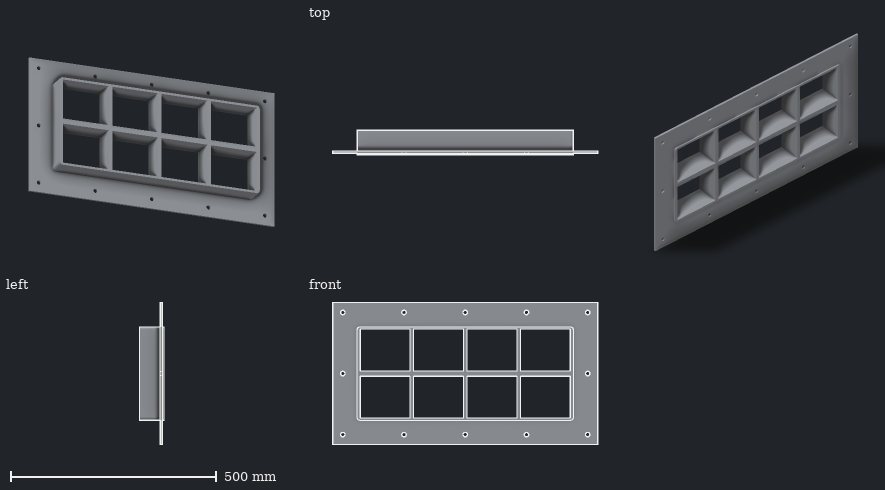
import cadquery as cq

plate_length = 644.0
plate_height = 346.0
plate_thickness = 6.0

hole_diameter = 10.0
hole_inset = 24.5
holes_along_length = 5
holes_along_height = 3

frame_length = 525.5
frame_height = 227.5
frame_depth = 60.0
frame_corner_radius = 8.0
front_lip = 4.0

columns = 4
rows = 2
side_wall = 8.0
top_wall = 6.0
upright_rib = 9.0
cross_rib = 13.5
window_length = (frame_length - 2 * side_wall - (columns - 1) * upright_rib) / columns
window_height = (frame_height - 2 * top_wall - (rows - 1) * cross_rib) / rows


def front_plane(y):
    """XZ plane at the given Y; positive extrusion runs towards -Y."""
    return cq.Workplane("XZ", origin=(0, y, 0))


def make_plate():
    return front_plane(plate_thickness).rect(plate_length, plate_height).extrude(plate_thickness)


def make_frame():
    block = front_plane(frame_depth - front_lip).rect(frame_length, frame_height).extrude(frame_depth)
    return block.edges("|Y").fillet(frame_corner_radius)


def make_windows():
    return (
        front_plane(frame_depth - front_lip)
        .rarray(window_length + upright_rib, window_height + cross_rib, columns, rows)
        .rect(window_length, window_height)
        .extrude(frame_depth)
    )


def make_screw_holes():
    pitch_x = (plate_length - 2 * hole_inset) / (holes_along_length - 1)
    pitch_z = (plate_height - 2 * hole_inset) / (holes_along_height - 1)
    border_points = []
    for column in range(holes_along_length):
        for row in range(holes_along_height):
            on_side = column in (0, holes_along_length - 1)
            on_top_or_bottom = row in (0, holes_along_height - 1)
            if on_side or on_top_or_bottom:
                x = hole_inset - plate_length / 2 + column * pitch_x
                z = hole_inset - plate_height / 2 + row * pitch_z
                border_points.append((x, z))
    return (
        front_plane(plate_thickness)
        .pushPoints(border_points)
        .circle(hole_diameter / 2)
        .extrude(plate_thickness)
    )


result = make_plate().union(make_frame()).cut(make_windows()).cut(make_screw_holes())